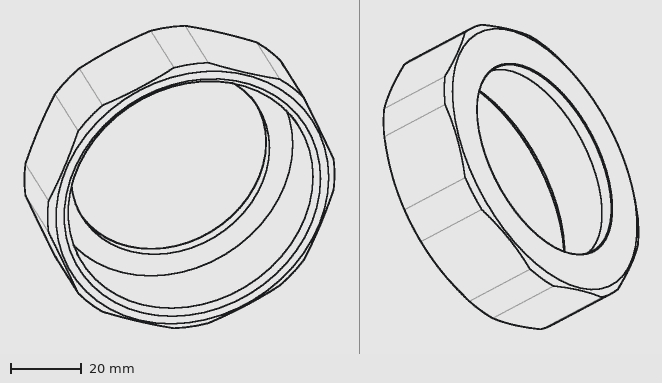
import cadquery as cq
import math

width = 25.0
outer_diameter = 84.7
flat_count = 8
across_flats = 81.5

face_diameter = 80.4
rim_chamfer_angle = 30.0

lip_diameter = 58.5
lip_width = 3.6
lip_chamfer = 0.25
counterbore_diameter = 72.2
counterbore_chamfer = 1.7

outer_radius = outer_diameter / 2
face_radius = face_diameter / 2
lip_radius = lip_diameter / 2
counterbore_radius = counterbore_diameter / 2
rim_chamfer_depth = (outer_radius - face_radius) * math.tan(math.radians(rim_chamfer_angle))
left = -width / 2
right = width / 2
step = left + lip_width


def ring_body():
    """Revolve the half section, drawn as (position along X, radius)."""
    section = [
        (left, lip_radius + lip_chamfer),
        (left, face_radius),
        (left + rim_chamfer_depth, outer_radius),
        (right - rim_chamfer_depth, outer_radius),
        (right, face_radius),
        (right, counterbore_radius + counterbore_chamfer),
        (right - counterbore_chamfer, counterbore_radius),
        (step, counterbore_radius),
        (step, lip_radius),
        (left + lip_chamfer, lip_radius),
    ]
    return cq.Workplane("XY").polyline(section).close().revolve(360, (0, 0, 0), (1, 0, 0))


def wrench_octagon():
    """Prism whose sides are the wrench flats, with corners on the Y and Z axes."""
    corner_diameter = across_flats / math.cos(math.pi / flat_count)
    return cq.Workplane("YZ").polygon(flat_count, corner_diameter).extrude(right, both=True)


result = ring_body().intersect(wrench_octagon())